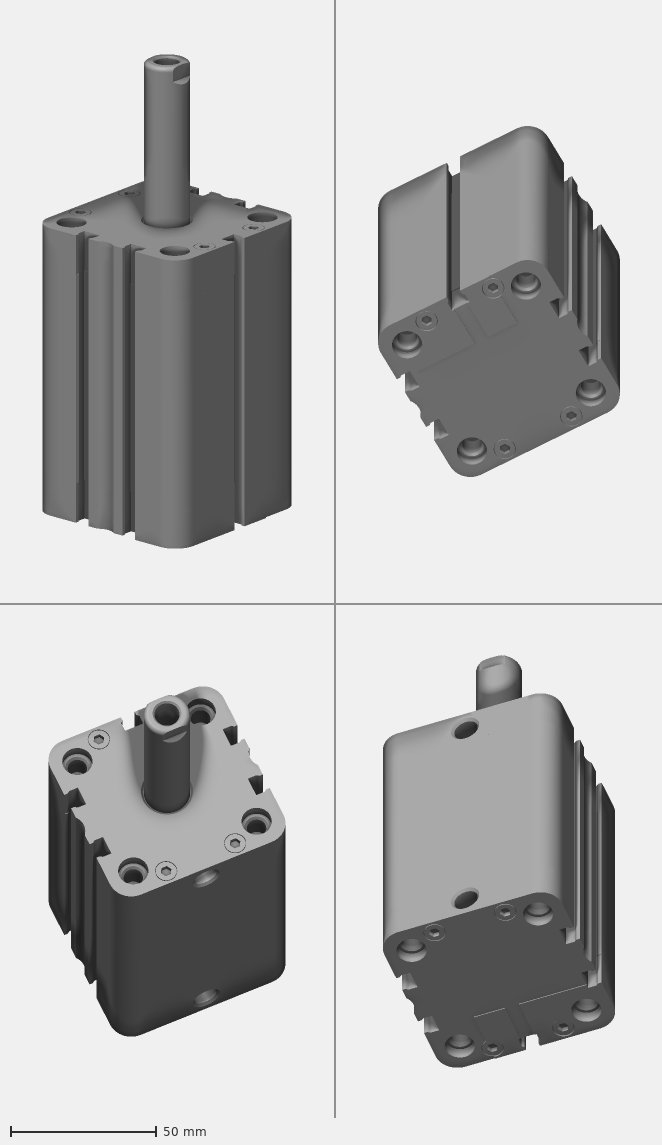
import cadquery as cq
import math

total_height = 163.0
side = 65.5
half_side = side / 2
corner_radius = 8.0
cap_height = 14.3
foot_height = 0.3
body_top = 105.0

lower_joint = foot_height + cap_height
upper_joint = body_top - cap_height

side_slot_offset = 10.51
side_mouth_width = 5.7
end_mouth_width = 5.2
side_undercut = 0.7
end_undercut = 0.8
lip_depth = 1.3
undercut_ramp_depth = 0.8
cap_slot_depth = 5.4
barrel_slot_depth = 5.0
mouth_taper = 0.3

groove_width = 7.3
groove_depth = 1.3

mount_offset = 23.3
mount_counterbore_diameter = 10.5
mount_counterbore_depth = 4.4
mount_chamfer_diameter = 8.3
mount_hole_diameter = 6.7

screw_x = 28.0
screw_y = 13.0
screw_recess_diameter = 7.7
screw_head_diameter = 7.2
screw_gap_depth = 0.8
socket_across_flats = 3.5
socket_depth = 2.0
hexagon_turn = 0

port_diameter = 8.6
port_mouth_diameter = 10.5
port_depth = 9.8
port_from_end = 7.7
air_passage_diameter = 3.5
air_passage_depth = 3.3
air_passage_drop = 2.3

rod_diameter = 16.0
rod_end_fillet = 1.6
wrench_flat_width = 13.0
wrench_flat_length = 5.2
rod_bore_diameter = 8.6
rod_bore_mouth_diameter = 10.0
rod_bore_depth = 19.5
drill_point_angle = 118.0
guide_mouth_diameter = 18.0
guide_floor_diameter = 16.5
guide_recess_depth = 0.8

pad_min_x = 12.5
pad_max_y = 14.0


def slot_prism(mouth_width, undercut, depth, height, taper=0.0):
    """T-slot opening toward -Y, centred on X = 0, with its mouth on Y = 0."""
    mouth = mouth_width / 2
    wide = mouth + undercut
    ramp_end = lip_depth + undercut_ramp_depth
    return (
        cq.Workplane("XY")
        .polyline([
            (-mouth, 0),
            (mouth, 0),
            (mouth - taper, lip_depth),
            (wide, ramp_end),
            (wide, depth),
            (-wide, depth),
            (-wide, ramp_end),
            (-mouth, lip_depth),
        ])
        .close()
        .extrude(height)
    )


def groove_prism(height):
    """Shallow circular-arc groove on the -Y face."""
    return (
        cq.Workplane("XY")
        .moveTo(-groove_width / 2, -half_side)
        .threePointArc((0, groove_depth - half_side), (groove_width / 2, -half_side))
        .close()
        .extrude(height)
    )


def profile_block(height, slot_depth, taper=0.0):
    """Rounded square block with the slots and grooves along its full height, base on Z = 0."""
    block = (
        cq.Workplane("XY")
        .rect(side, side)
        .extrude(height)
        .edges("|Z")
        .fillet(corner_radius)
    )
    right_slot = slot_prism(side_mouth_width, side_undercut, slot_depth, height, taper)
    right_slot = right_slot.translate((side_slot_offset, -half_side, 0))
    front_cuts = right_slot.union(right_slot.mirror("YZ")).union(groove_prism(height))
    end_slot = (
        slot_prism(end_mouth_width, end_undercut, slot_depth, height)
        .rotate((0, 0, 0), (0, 0, 1), 90)
        .translate((half_side, 0, 0))
    )
    return block.cut(front_cuts).cut(front_cuts.mirror("XZ")).cut(end_slot)


def cut_mounting_holes(cap):
    """Four corner holes through the cap, counterbored and countersunk from its outer face."""
    spacing = 2 * mount_offset
    chamfer_depth = (mount_chamfer_diameter - mount_hole_diameter) / 2
    hole = (
        cq.Workplane("XZ")
        .polyline([
            (0, 0),
            (mount_hole_diameter / 2, 0),
            (mount_hole_diameter / 2, cap_height - mount_counterbore_depth - chamfer_depth),
            (mount_chamfer_diameter / 2, cap_height - mount_counterbore_depth),
            (mount_counterbore_diameter / 2, cap_height - mount_counterbore_depth),
            (mount_counterbore_diameter / 2, cap_height),
            (0, cap_height),
        ])
        .close()
        .revolve(360, (0, 0), (0, 1))
        .val()
    )
    corners = cq.Workplane("XY").rect(spacing, spacing, forConstruction=True).vertices()
    return cap.cut(corners.eachpoint(lambda place: hole.moved(place)))


def cut_screw_details(cap):
    """Ring gap and hexagonal socket of the four screws, flush with the outer face."""
    centres = (
        cq.Workplane("XY")
        .workplane(offset=cap_height)
        .rect(2 * screw_x, 2 * screw_y, forConstruction=True)
        .vertices()
    )
    gaps = centres.circle(screw_recess_diameter / 2).circle(screw_head_diameter / 2)
    gaps = gaps.extrude(-screw_gap_depth)
    across_corners = socket_across_flats / math.cos(math.radians(30))
    hexagon = cq.Sketch().regularPolygon(across_corners / 2, 6, hexagon_turn)
    sockets = centres.placeSketch(hexagon).extrude(-socket_depth)
    return cap.cut(gaps).cut(sockets)


def cut_port(cap):
    """Air port with a chamfered mouth, entering from the -X face."""
    height = cap_height - port_from_end
    mouth_chamfer = (port_mouth_diameter - port_diameter) / 2
    port = (
        cq.Workplane("XY")
        .polyline([
            (-half_side, 0),
            (-half_side, port_mouth_diameter / 2),
            (mouth_chamfer - half_side, port_diameter / 2),
            (port_depth - half_side, port_diameter / 2),
            (port_depth - half_side, 0),
        ])
        .close()
        .revolve(360, (0, 0), (1, 0))
        .translate((0, 0, height))
    )
    return cap.cut(port)


def end_cap():
    """Features shared by both caps; inner face on Z = 0, outer face upward."""
    cap = profile_block(cap_height, cap_slot_depth)
    cap = cut_mounting_holes(cap)
    cap = cut_screw_details(cap)
    return cut_port(cap)


def make_top_cap():
    rod_hole = cq.Workplane("XY").circle(rod_diameter / 2).extrude(cap_height)
    guide_recess = (
        cq.Workplane("XY")
        .workplane(offset=cap_height - guide_recess_depth)
        .circle(guide_floor_diameter / 2)
        .workplane(offset=guide_recess_depth)
        .circle(guide_mouth_diameter / 2)
        .loft(ruled=True)
    )
    air_passage = (
        cq.Workplane("YZ")
        .workplane(offset=port_depth - half_side)
        .center(0, cap_height - port_from_end - air_passage_drop)
        .circle(air_passage_diameter / 2)
        .extrude(air_passage_depth)
    )
    cap = end_cap().cut(rod_hole).cut(guide_recess).cut(air_passage)
    return cap.translate((0, 0, upper_joint))


def make_foot_pad():
    """Thin pad on the +X, -Y part of the underside, split by a groove in line with the end slot."""
    pad_region = (
        cq.Workplane("XY")
        .box(half_side - pad_min_x, half_side + pad_max_y, foot_height, centered=False)
        .translate((pad_min_x, -half_side, 0))
    )
    gap = (
        cq.Workplane("XY")
        .box(half_side, end_mouth_width, foot_height, centered=(False, True, False))
    )
    return profile_block(foot_height, cap_slot_depth).intersect(pad_region).cut(gap)


def rectangle_of_holes(spacing_x, spacing_y, diameter):
    """Four vertical cylinders, as tall as the pad, at the corners of a rectangle."""
    return (
        cq.Workplane("XY")
        .rect(spacing_x, spacing_y, forConstruction=True)
        .vertices()
        .circle(diameter / 2)
        .extrude(foot_height)
    )


def make_bottom_cap():
    cap = end_cap().mirror("XY").translate((0, 0, lower_joint))
    mount_clearance = rectangle_of_holes(2 * mount_offset, 2 * mount_offset, mount_counterbore_diameter)
    screw_clearance = rectangle_of_holes(2 * screw_x, 2 * screw_y, screw_recess_diameter)
    pad = make_foot_pad().cut(mount_clearance).cut(screw_clearance)
    return cap.union(pad)


def make_barrel():
    barrel_height = upper_joint - lower_joint
    return profile_block(barrel_height, barrel_slot_depth, mouth_taper).translate((0, 0, lower_joint))


def make_rod():
    rod = (
        cq.Workplane("XY")
        .workplane(offset=upper_joint)
        .circle(rod_diameter / 2)
        .extrude(total_height - upper_joint)
        .faces(">Z")
        .edges()
        .fillet(rod_end_fillet)
    )
    flat_x = wrench_flat_width / 2
    rod_radius = rod_diameter / 2
    flat_bottom = total_height - wrench_flat_length
    flat = (
        cq.Workplane("XZ")
        .polyline([
            (flat_x, total_height),
            (flat_x, flat_bottom),
            (rod_radius, flat_bottom - (rod_radius - flat_x)),
            (rod_radius, total_height),
        ])
        .close()
        .extrude(rod_radius, both=True)
    )
    bore_radius = rod_bore_diameter / 2
    mouth_radius = rod_bore_mouth_diameter / 2
    bore_bottom = total_height - rod_bore_depth
    point_height = bore_radius / math.tan(math.radians(drill_point_angle / 2))
    bore = (
        cq.Workplane("XZ")
        .polyline([
            (0, total_height),
            (mouth_radius, total_height),
            (bore_radius, total_height - (mouth_radius - bore_radius)),
            (bore_radius, bore_bottom),
            (0, bore_bottom - point_height),
        ])
        .close()
        .revolve(360, (0, 0), (0, 1))
    )
    return rod.cut(flat).cut(flat.mirror("YZ")).cut(bore)


top_cap = make_top_cap()
bottom_cap = make_bottom_cap()
barrel = make_barrel()
rod = make_rod()

result = cq.Compound.makeCompound([top_cap.val(), bottom_cap.val(), barrel.val(), rod.val()])